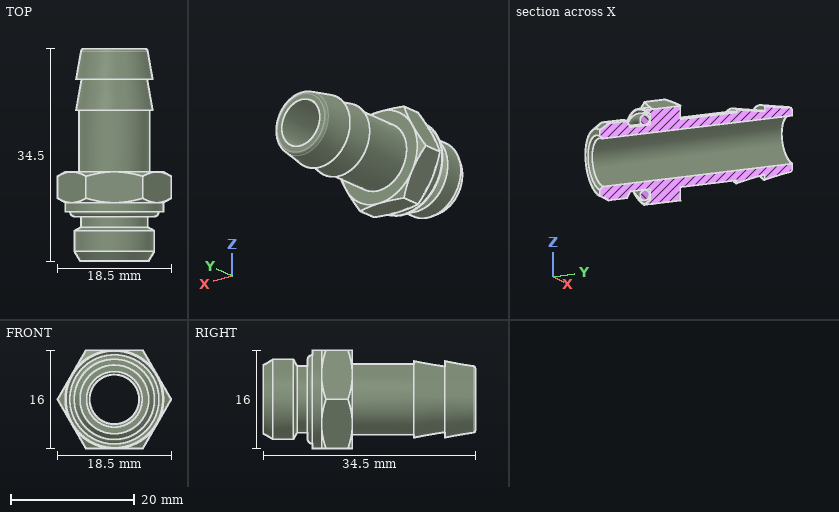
import cadquery as cq
import math

LENGTH = 34.5
END_Y = -LENGTH / 2

BORE_R = 4.0
BORE_MOUTH_R = 4.52
BORE_MOUTH_ANGLE = 45

THREAD_R = 6.52
THREAD_TIP_R = 5.6
THREAD_TIP_LENGTH = 1.6
NECK_R = 5.45
NECK_START = 5.52
THREAD_RUNOUT_ANGLE = 60

COLLAR_FACE = 8.0
COLLAR_LENGTH = 1.5
HEX_ACROSS_FLATS = 16.0
HEX_LENGTH = 5.0
HEX_CHAMFER_ANGLE = 30
COLLAR_R = HEX_ACROSS_FLATS / 2
HEX_CORNER_R = COLLAR_R / math.cos(math.radians(30))

BARB_COUNT = 2
BARB_LENGTH = 5.0
BARB_R = 6.25
BARB_TAPER = 10
STEM_R = 5.75
TIP_FILLET = 0.5

RING_SECTION_R = 0.9
RING_PROJECTION = 0.83
RECESS_MOUTH_R = 7.85
RECESS_FLOOR_R = NECK_R + 2 * RING_SECTION_R
RECESS_DEPTH = 2 * RING_SECTION_R - RING_PROJECTION

collar_y = END_Y + COLLAR_FACE
hex_start_y = collar_y + COLLAR_LENGTH
hex_end_y = hex_start_y + HEX_LENGTH
barbs_start_y = LENGTH / 2 - BARB_COUNT * BARB_LENGTH


def revolve_profile(points):
    """Turn a closed (radius, Y) outline about the Y axis."""
    return cq.Workplane("XY").polyline(points).close().revolve(360, (0, 0, 0), (0, 1, 0))


def cylinder(radius, start_y, end_y):
    return revolve_profile([(0, start_y), (radius, start_y), (radius, end_y), (0, end_y)])


def make_threaded_end():
    neck_y = END_Y + NECK_START
    runout_length = (THREAD_R - NECK_R) / math.tan(math.radians(THREAD_RUNOUT_ANGLE))
    return revolve_profile([
        (0, END_Y),
        (THREAD_TIP_R, END_Y),
        (THREAD_R, END_Y + THREAD_TIP_LENGTH),
        (THREAD_R, neck_y - runout_length),
        (NECK_R, neck_y),
        (NECK_R, hex_start_y),
        (0, hex_start_y),
    ])


def make_collar():
    """Collar with a conical recess around the neck for the O-ring."""
    recess_floor_y = collar_y + RECESS_DEPTH
    return revolve_profile([
        (0, recess_floor_y),
        (RECESS_FLOOR_R, recess_floor_y),
        (RECESS_MOUTH_R, collar_y),
        (COLLAR_R, collar_y),
        (COLLAR_R, hex_start_y),
        (0, hex_start_y),
    ])


def make_hexagon():
    """Hexagon with corners pointing along X, chamfered on both end faces."""
    prism = (
        cq.Workplane("XZ", origin=(0, hex_start_y, 0))
        .polygon(6, 2 * HEX_CORNER_R)
        .extrude(-HEX_LENGTH)
    )
    chamfer_length = (HEX_CORNER_R - COLLAR_R) * math.tan(math.radians(HEX_CHAMFER_ANGLE))
    chamfer_envelope = revolve_profile([
        (0, hex_start_y),
        (COLLAR_R, hex_start_y),
        (HEX_CORNER_R, hex_start_y + chamfer_length),
        (HEX_CORNER_R, hex_end_y - chamfer_length),
        (COLLAR_R, hex_end_y),
        (0, hex_end_y),
    ])
    return prism.intersect(chamfer_envelope)


def make_barb(start_y):
    end_y = start_y + BARB_LENGTH
    end_r = BARB_R - BARB_LENGTH * math.tan(math.radians(BARB_TAPER))
    return revolve_profile([(0, start_y), (BARB_R, start_y), (end_r, end_y), (0, end_y)])


def make_hose_end():
    hose_end = cylinder(STEM_R, hex_end_y, barbs_start_y)
    for index in range(BARB_COUNT):
        hose_end = hose_end.union(make_barb(barbs_start_y + index * BARB_LENGTH))
    return hose_end.faces(">Y").edges().fillet(TIP_FILLET)


def make_bore():
    """Through bore, widened by a cone at the threaded end."""
    mouth_depth = (BORE_MOUTH_R - BORE_R) / math.tan(math.radians(BORE_MOUTH_ANGLE))
    return revolve_profile([
        (0, END_Y),
        (BORE_MOUTH_R, END_Y),
        (BORE_R, END_Y + mouth_depth),
        (BORE_R, LENGTH / 2),
        (0, LENGTH / 2),
    ])


def make_fitting():
    return (
        make_threaded_end()
        .union(make_collar())
        .union(make_hexagon())
        .union(make_hose_end())
        .cut(make_bore())
    )


def make_o_ring():
    """O-ring around the neck, resting on the recess floor."""
    centre_y = collar_y - RING_PROJECTION + RING_SECTION_R
    return (
        cq.Workplane("XY")
        .center(NECK_R + RING_SECTION_R, centre_y)
        .circle(RING_SECTION_R)
        .revolve(360, (-NECK_R - RING_SECTION_R, 0, 0), (-NECK_R - RING_SECTION_R, 1, 0))
    )


fitting = make_fitting()
o_ring = make_o_ring()

result = cq.Compound.makeCompound([fitting.solids().val(), o_ring.val()])